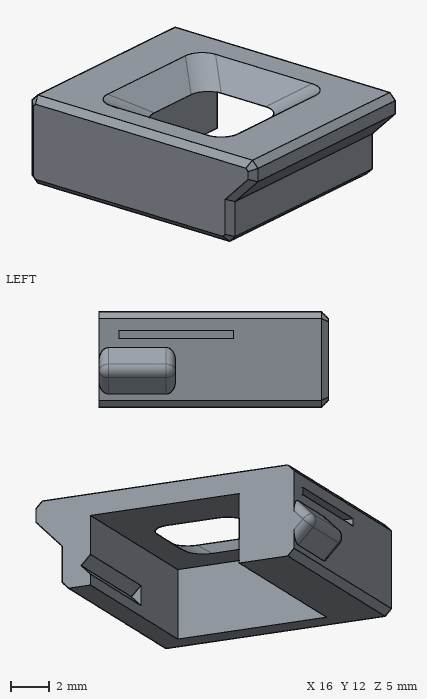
import cadquery as cq
import math

LENGTH, WIDTH, HEIGHT = 16.02, 12.0, 5.0
BODY_LEFT = 1.01
BODY_RIGHT = 14.5
LIP_BOTTOM = 3.88
LIP_ROOT = LIP_BOTTOM - (LENGTH - BODY_RIGHT)
EDGE_CHAMFER = 0.37

WINDOW_LEFT, WINDOW_RIGHT = 4.2, 12.85
WINDOW_FRONT, WINDOW_BACK = 1.59, 10.41
WINDOW_INSET = 1.73
WINDOW_CORNER = 1.12
ROOF_THICKNESS = 1.19

GROOVE_BOTTOM = 0.6
GROOVE_DEPTH = 0.55
GROOVE_FRONT = WIDTH / 2

SLOT_FRONT, SLOT_BACK = 4.97, 10.95
SLOT_BOTTOM, SLOT_HEIGHT = 3.6, 0.4
SLOT_DEPTH = 1.6

TAB_LENGTH = 4.0
TAB_CENTER_Z = 1.9
TAB_ROUNDING = 0.5
TAB_ROOT = 0.64
TAB_HALF_HEIGHT = BODY_LEFT + (math.sqrt(2) - 1) * TAB_ROUNDING


def extrude_along_y(points, front, back):
    """Extrude an XZ outline from Y = front to Y = back."""
    return cq.Workplane("XZ", origin=(0, front, 0)).polyline(points).close().extrude(front - back)


def make_body():
    outline = [
        (BODY_LEFT, 0),
        (BODY_RIGHT, 0),
        (BODY_RIGHT, LIP_ROOT),
        (LENGTH, LIP_BOTTOM),
        (LENGTH, HEIGHT),
        (BODY_LEFT, HEIGHT),
    ]
    body = extrude_along_y(outline, 0, WIDTH)
    long_edges = body.edges("|Y").edges("<Z or >Z")
    return long_edges.chamfer(EDGE_CHAMFER).faces("<Y").edges().chamfer(EDGE_CHAMFER)


def make_window():
    size_x = WINDOW_RIGHT - WINDOW_LEFT
    size_y = WINDOW_BACK - WINDOW_FRONT
    center = ((WINDOW_LEFT + WINDOW_RIGHT) / 2, (WINDOW_FRONT + WINDOW_BACK) / 2)
    upper = cq.Sketch().rect(size_x, size_y).vertices().fillet(WINDOW_CORNER)
    lower = cq.Sketch().rect(size_x - 2 * WINDOW_INSET, size_y - 2 * WINDOW_INSET)
    lower = lower.vertices().fillet(WINDOW_CORNER)
    return (
        cq.Workplane("XY", origin=(*center, HEIGHT - ROOF_THICKNESS))
        .placeSketch(lower, upper.moved(cq.Location(cq.Vector(0, 0, ROOF_THICKNESS))))
        .loft()
    )


def make_cavity():
    """Space under the roof, open at the bottom and at the +Y end."""
    size = (WINDOW_RIGHT - WINDOW_LEFT, WIDTH - WINDOW_FRONT, HEIGHT - ROOF_THICKNESS)
    return cq.Workplane().box(*size, centered=False).translate((WINDOW_LEFT, WINDOW_FRONT, 0))


def make_groove():
    outline = [
        (WINDOW_RIGHT, GROOVE_BOTTOM),
        (WINDOW_RIGHT + GROOVE_DEPTH, GROOVE_BOTTOM + GROOVE_DEPTH),
        (WINDOW_RIGHT, GROOVE_BOTTOM + 2 * GROOVE_DEPTH),
    ]
    return extrude_along_y(outline, GROOVE_FRONT, WIDTH)


def make_slot():
    slot = cq.Workplane().box(SLOT_DEPTH, SLOT_BACK - SLOT_FRONT, SLOT_HEIGHT, centered=False)
    return slot.translate((BODY_LEFT, SLOT_FRONT, SLOT_BOTTOM))


def make_tab():
    """Wedge with 45 degree flanks, rounded at its tip and both ends."""
    sharp_tip = BODY_LEFT - TAB_HALF_HEIGHT
    root = BODY_LEFT + TAB_ROOT
    outline = [
        (root, TAB_CENTER_Z - TAB_HALF_HEIGHT),
        (BODY_LEFT, TAB_CENTER_Z - TAB_HALF_HEIGHT),
        (sharp_tip, TAB_CENTER_Z),
        (BODY_LEFT, TAB_CENTER_Z + TAB_HALF_HEIGHT),
        (root, TAB_CENTER_Z + TAB_HALF_HEIGHT),
    ]
    tab = extrude_along_y(outline, WIDTH - TAB_LENGTH, WIDTH)
    tip_and_ends = cq.selectors.BoxSelector((sharp_tip - 0.16, 0, 0), (BODY_LEFT - 0.16, WIDTH + 0.16, HEIGHT))
    return tab.edges(tip_and_ends).fillet(TAB_ROUNDING)


result = (
    make_body()
    .cut(make_cavity())
    .cut(make_window())
    .cut(make_groove())
    .cut(make_slot())
    .union(make_tab())
)